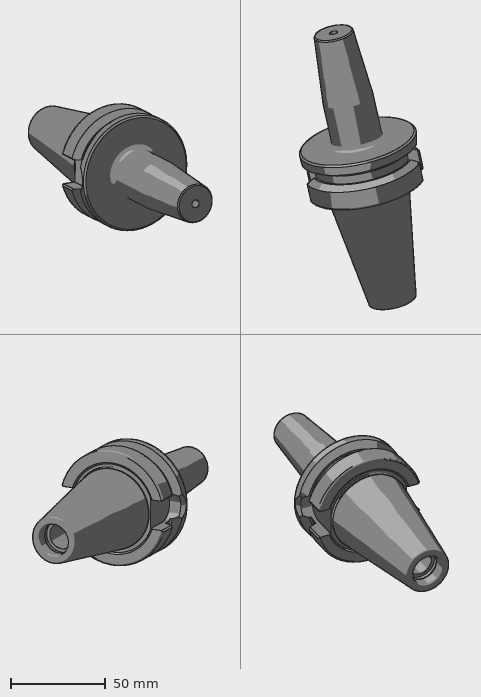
import cadquery as cq
import math


overall_length = 155.4
taper_length = 65.4
small_end_x = -taper_length
nose_end_x = small_end_x + overall_length

gauge_radius = 44.45 / 2
taper_half_slope = 7 / 48
small_end_fillet = 0.7
taper_end_chamfer = 0.35
neck_radius = 44.0 / 2
neck_fillet = 0.6

flange_radius = 63.0 / 2
flange_face_x = 1.0
flange_back_x = 27.0
flange_front_fillet = 1.0
flange_back_chamfer = 1.0

recess_floor_x = 1.6
recess_floor_radius = 24.2
recess_rim_radius = 25.1

groove_center_x = 16.6
groove_rim_width = 9.9
groove_root_width = 5.0
groove_root_radius = 26.1
groove_wall_angle = 30.0

slot_half_width = 16.1 / 2
slot_floor_offset = 22.6
slot_end_center_x = 14.8
slot_chamfer_start = 29.35
slot_chamfer_angle = 45.0
slot_cutter_overrun = 1.0

shank_radius = 27.0 / 2
shank_fillet = 2.7
nose_end_radius = 21.0 / 2
nose_half_angle = 4.5
nose_chamfer_length = 0.8
nose_chamfer_depth = 0.5

entry_fillet = 1.0
pilot_radius = 17.0 / 2
pilot_depth = 6.1
relief_radius = 17.6 / 2
relief_half_angle = 20.0
relief_depth = 9.0
thread_radius = 13.84 / 2
thread_depth = 32.0
through_radius = 4.3 / 2
drill_point_half_angle = 59.0


def cone_length(large_radius, small_radius, half_angle):
    return (large_radius - small_radius) / math.tan(math.radians(half_angle))


def outer_profile():
    small_end_radius = gauge_radius - taper_length * taper_half_slope

    rim_half = groove_rim_width / 2
    root_half = groove_root_width / 2
    wall_depth = (rim_half - root_half) / math.tan(math.radians(groove_wall_angle))
    groove_wall_foot = flange_radius - wall_depth

    shank_end_x = nose_end_x - cone_length(shank_radius, nose_end_radius, nose_half_angle)
    nose_chamfer_x = nose_end_x - nose_chamfer_length
    nose_chamfer_radius = nose_end_radius + nose_chamfer_length * math.tan(math.radians(nose_half_angle))

    return (
        cq.Workplane("XY")
        .moveTo(small_end_x, 0)
        .lineTo(small_end_x, small_end_radius)
        .lineTo(0, gauge_radius)
        .lineTo(taper_end_chamfer, neck_radius)
        .lineTo(recess_floor_x - neck_fillet, neck_radius)
        .radiusArc((recess_floor_x, neck_radius + neck_fillet), -neck_fillet)
        .lineTo(recess_floor_x, recess_floor_radius)
        .lineTo(flange_face_x, recess_rim_radius)
        .lineTo(flange_face_x, flange_radius - flange_front_fillet)
        .radiusArc((flange_face_x + flange_front_fillet, flange_radius), flange_front_fillet)
        .lineTo(groove_center_x - rim_half, flange_radius)
        .lineTo(groove_center_x - root_half, groove_wall_foot)
        .lineTo(groove_center_x - root_half, groove_root_radius)
        .lineTo(groove_center_x + root_half, groove_root_radius)
        .lineTo(groove_center_x + root_half, groove_wall_foot)
        .lineTo(groove_center_x + rim_half, flange_radius)
        .lineTo(flange_back_x - flange_back_chamfer, flange_radius)
        .lineTo(flange_back_x, flange_radius - flange_back_chamfer)
        .lineTo(flange_back_x, shank_radius + shank_fillet)
        .radiusArc((flange_back_x + shank_fillet, shank_radius), -shank_fillet)
        .lineTo(shank_end_x, shank_radius)
        .lineTo(nose_chamfer_x, nose_chamfer_radius)
        .lineTo(nose_end_x, nose_end_radius - nose_chamfer_depth)
        .lineTo(nose_end_x, 0)
        .close()
    )


def bore_profile():
    pilot_end_x = small_end_x + pilot_depth
    relief_start_x = pilot_end_x + cone_length(relief_radius, pilot_radius, relief_half_angle)
    relief_end_x = small_end_x + relief_depth
    thread_end_x = small_end_x + thread_depth
    drill_point_x = thread_end_x + cone_length(thread_radius, through_radius, drill_point_half_angle)

    return (
        cq.Workplane("XY")
        .moveTo(small_end_x, 0)
        .lineTo(small_end_x, pilot_radius + entry_fillet)
        .radiusArc((small_end_x + entry_fillet, pilot_radius), -entry_fillet)
        .lineTo(pilot_end_x, pilot_radius)
        .lineTo(relief_start_x, relief_radius)
        .lineTo(relief_end_x, relief_radius)
        .lineTo(relief_end_x, thread_radius)
        .lineTo(thread_end_x, thread_radius)
        .lineTo(drill_point_x, through_radius)
        .lineTo(nose_end_x, through_radius)
        .lineTo(nose_end_x, 0)
        .close()
    )


def revolve_about_axis(profile):
    return profile.revolve(360, (0, 0, 0), (1, 0, 0))


def slot_outline(offset):
    """Round-ended slot outline, parallel to XZ at Y = offset and open toward the taper."""
    return (
        cq.Workplane("XZ", origin=(0, offset, 0))
        .moveTo(0, -slot_half_width)
        .lineTo(slot_end_center_x, -slot_half_width)
        .threePointArc((slot_end_center_x + slot_half_width, 0), (slot_end_center_x, slot_half_width))
        .lineTo(0, slot_half_width)
        .close()
    )


def drive_slot():
    """Cutter for the slot on the -Y side, with chamfered outer edges."""
    slot_reach = flange_radius + slot_cutter_overrun
    chamfer_height = slot_reach - slot_chamfer_start
    straight = slot_outline(-slot_floor_offset).extrude(slot_reach - slot_floor_offset)
    flare = slot_outline(-slot_chamfer_start).extrude(chamfer_height, taper=-slot_chamfer_angle)
    return straight.union(flare)


body = revolve_about_axis(outer_profile())
body = body.faces("<X").edges().fillet(small_end_fillet)
result = body.cut(revolve_about_axis(bore_profile()))
for side_angle in (0, 180):
    result = result.cut(drive_slot().rotate((0, 0, 0), (1, 0, 0), side_angle))